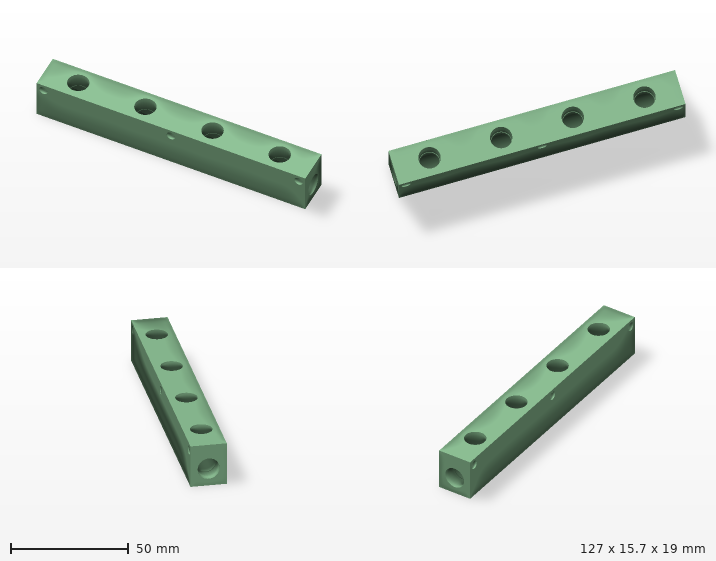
import cadquery as cq

length = 127.0
width = 15.7
height = 19.0

bore_diameter = 8.6
bore_height = width / 2

port_mouth_diameter = 9.5
port_depth = 6.4
port_taper = 1 / 16
port_inner_diameter = port_mouth_diameter - port_taper * port_depth

top_port_count = 4
top_port_pitch = length / top_port_count
top_drill_depth = height - bore_height

mounting_diameter = 4.0
mounting_inset = 3.2


def drill(diameter, start, direction, depth):
    """Plain round hole as a solid cutter."""
    return cq.Workplane(cq.Solid.makeCylinder(diameter / 2, depth, start, direction))


def tapered_port(mouth, inward):
    """Cone narrowing from the port mouth inwards, as a solid cutter."""
    cone = cq.Solid.makeCone(
        port_mouth_diameter / 2, port_inner_diameter / 2, port_depth, mouth, inward
    )
    return cq.Workplane(cone)


result = cq.Workplane("XY").box(length, width, height, centered=(True, True, False))

bore_start = cq.Vector(-length / 2, 0, bore_height)
result = result.cut(drill(bore_diameter, bore_start, cq.Vector(1, 0, 0), length))

for side in (-1, 1):
    end_mouth = cq.Vector(side * length / 2, 0, bore_height)
    result = result.cut(tapered_port(end_mouth, cq.Vector(-side, 0, 0)))

down = cq.Vector(0, 0, -1)
for index in range(top_port_count):
    port_x = (index - (top_port_count - 1) / 2) * top_port_pitch
    top_mouth = cq.Vector(port_x, 0, height)
    result = result.cut(drill(bore_diameter, top_mouth, down, top_drill_depth))
    result = result.cut(tapered_port(top_mouth, down))

corner_x = length / 2 - mounting_inset
mounting_z = height - mounting_inset
for hole_x in (-corner_x, 0, corner_x):
    hole_start = cq.Vector(hole_x, -width / 2, mounting_z)
    result = result.cut(drill(mounting_diameter, hole_start, cq.Vector(0, 1, 0), width))